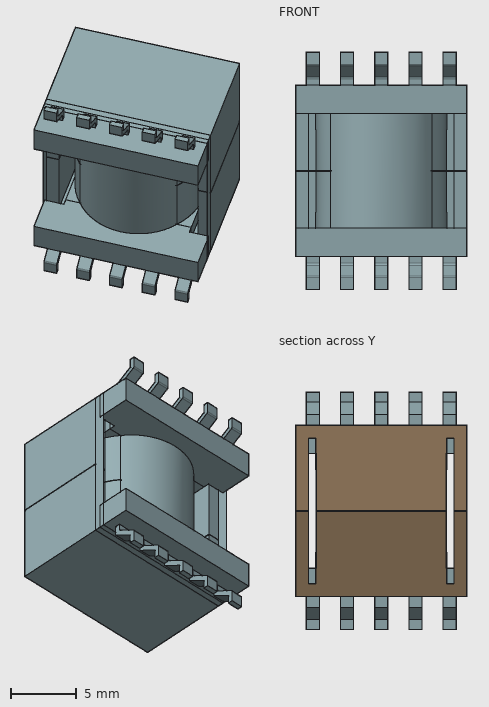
import cadquery as cq
import math

total_height = 18.01
total_depth = 11.08
body_width = 13.0
body_height = 13.0
body_top = body_height / 2

flange_height = 2.16
flange_front = 0.05
shoulder_back = 2.88
window_top = body_top - flange_height

core_depth = 7.7
core_front = total_depth - core_depth
core_gap = 0.04
shell_wall = 0.99
cavity_width = body_width - 2 * shell_wall
cavity_back = total_depth - shell_wall
cavity_top = body_top - shell_wall

post_radius = 4.97
winding_front = 1.4
winding_half_width = 3.84
post_center = core_front + math.sqrt(post_radius**2 - winding_half_width**2)

band_front = 2.49
band_thickness = 0.009
band_inner_width = body_width - 2 * band_thickness
band_inner_top = body_top - band_thickness

pins_per_row = 5
pin_pitch = 2.6
pin_width = 1.0
pin_thickness = 0.41
root_front = 1.58
root_length = 0.6
root_embedment = 0.54
pin_slope = math.radians(30.0)
root_bend_radius = 0.22
foot_bend_radius = 0.15


def block(width, y_start, y_end, z_start, z_end):
    """Box centred on X between the given Y and Z limits."""
    box = cq.Workplane("XY").box(width, y_end - y_start, z_end - z_start, centered=(True, False, False))
    return box.translate((0, y_start, z_start))


def make_core_half():
    """Upper core half: shell open to the front, with a cheek and a round post inside."""
    lower_face = core_gap / 2
    shell = block(body_width, core_front, total_depth, lower_face, body_top)
    shell = shell.cut(block(cavity_width, core_front, cavity_back, lower_face, cavity_top))
    cheek = block(2 * post_radius, core_front, cavity_back, window_top, cavity_top)
    post = (
        cq.Workplane("XY", origin=(0, post_center, lower_face))
        .circle(post_radius)
        .extrude(window_top - lower_face)
    )
    post = post.intersect(block(cavity_width, core_front, cavity_back, lower_face, window_top))
    return shell.union(cheek).union(post)


def make_band():
    """Closed rectangular loop, flush with the outside of the core."""
    loop = block(body_width, band_front, core_front, -body_top, body_top)
    opening = block(band_inner_width, band_front, core_front, -band_inner_top, band_inner_top)
    return loop.cut(opening)


def make_winding():
    """Visible front segment of the winding, between the flanges."""
    return (
        cq.Workplane("XY")
        .moveTo(-winding_half_width, core_front)
        .threePointArc((0, winding_front), (winding_half_width, core_front))
        .close()
        .extrude(window_top, both=True)
    )


def make_pin():
    """Pin on the centre line: straight root, slope towards the mounting plane, and foot."""
    tip = total_height / 2
    root_back = root_front + pin_thickness
    root_start = body_top - root_embedment
    root_bend = body_top + root_length
    foot_bend = root_bend + root_front * math.tan(pin_slope)
    back_rise = pin_thickness * math.tan((math.pi / 2 - pin_slope) / 2)
    side_profile = [
        (root_front, root_start),
        (root_front, root_bend),
        (0, foot_bend),
        (0, tip),
        (pin_thickness, tip),
        (pin_thickness, foot_bend + back_rise),
        (root_back, root_bend + back_rise),
        (root_back, root_start),
    ]
    pin = cq.Workplane("YZ").polyline(side_profile).close().extrude(pin_width / 2, both=True)
    pin = pin.edges(cq.NearestToPointSelector((0, root_front, root_bend))).fillet(root_bend_radius)
    return pin.edges(cq.NearestToPointSelector((0, 0, foot_bend))).fillet(foot_bend_radius)


def make_flange():
    """Upper flange: bar, shoulder inside the band, tongue up to the core cheek, and moulded-in pins."""
    flange = block(body_width, flange_front, band_front, window_top, body_top)
    flange = flange.union(
        block(band_inner_width, band_front, shoulder_back, window_top, band_inner_top)
    )
    flange = flange.union(block(2 * post_radius, shoulder_back, core_front, window_top, cavity_top))
    pin = make_pin()
    first_pin_x = -(pins_per_row - 1) / 2 * pin_pitch
    for i in range(pins_per_row):
        flange = flange.union(pin.translate((first_pin_x + i * pin_pitch, 0, 0)))
    return flange


upper_core = make_core_half()
lower_core = upper_core.mirror("XY")
upper_flange = make_flange()
lower_flange = upper_flange.mirror("XY")
band = make_band()
winding = make_winding()

result = cq.Compound.makeCompound([
    upper_core.val(),
    lower_core.val(),
    upper_flange.val(),
    lower_flange.val(),
    band.val(),
    winding.val(),
])